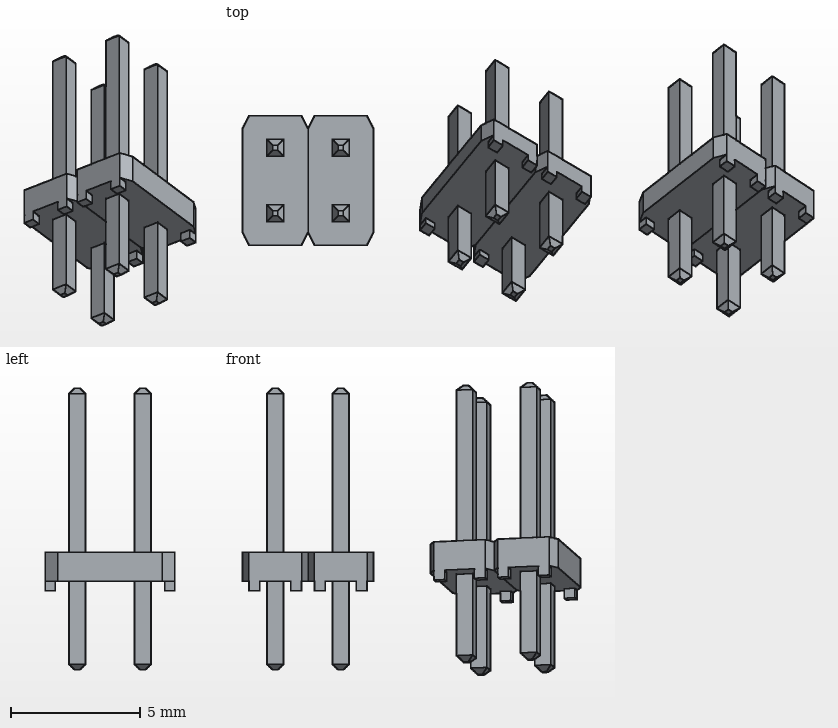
import cadquery as cq

total_width = 5.08
column_count = 2
pitch = total_width / column_count
row_count = 2

pin_width = 0.64
pin_length = 10.92
pin_tail = 3.06
pin_tip_width = 0.21
pin_tip_height = 0.22

housing_depth = 5.03
housing_height = 1.14
corner_cut_x = 0.25
corner_cut_y = 0.5

foot_width = 0.43
foot_depth = 0.4
foot_height = 0.37

housing_width = pitch
column_places = [(column - (column_count - 1) / 2) * pitch for column in range(column_count)]
row_places = [(row - (row_count - 1) / 2) * pitch for row in range(row_count)]


def make_tip(shaft_end, tip_end):
    """Blunt pyramid from the full pin section to the small end face."""
    return (
        cq.Workplane("XY")
        .workplane(offset=shaft_end)
        .rect(pin_width, pin_width)
        .workplane(offset=tip_end - shaft_end)
        .rect(pin_tip_width, pin_tip_width)
        .loft(ruled=True)
    )


def make_pin(x, y):
    """Square pin with a blunt pyramid at each end."""
    bottom = -pin_tail
    top = bottom + pin_length
    shaft_bottom = bottom + pin_tip_height
    shaft_top = top - pin_tip_height
    shaft = (
        cq.Workplane("XY")
        .workplane(offset=shaft_bottom)
        .rect(pin_width, pin_width)
        .extrude(shaft_top - shaft_bottom)
    )
    pin = shaft.union(make_tip(shaft_top, top)).union(make_tip(shaft_bottom, bottom))
    return pin.translate((x, y, 0))


def make_block():
    """Housing block with its four vertical corners cut off."""
    side = housing_width / 2
    end = housing_depth / 2
    flat_x = side - corner_cut_x
    flat_y = end - corner_cut_y
    outline = [
        (-flat_x, -end),
        (flat_x, -end),
        (side, -flat_y),
        (side, flat_y),
        (flat_x, end),
        (-flat_x, end),
        (-side, flat_y),
        (-side, -flat_y),
    ]
    return cq.Workplane("XY").workplane(offset=foot_height).polyline(outline).close().extrude(housing_height)


def make_feet():
    """Four feet, flush with the end faces and starting where the corner cuts end."""
    spacing_x = housing_width - 2 * corner_cut_x - foot_width
    spacing_y = housing_depth - foot_depth
    return (
        cq.Workplane("XY")
        .rarray(spacing_x, spacing_y, 2, 2)
        .rect(foot_width, foot_depth)
        .extrude(foot_height)
    )


def make_housing(x):
    """Footed block with a matching square hole for each pin of its column."""
    pin_holes = (
        cq.Workplane("XY")
        .pushPoints([(0, y) for y in row_places])
        .rect(pin_width, pin_width)
        .extrude(foot_height + housing_height)
    )
    return make_block().union(make_feet()).cut(pin_holes).translate((x, 0, 0))


housings = [make_housing(x) for x in column_places]
pins = [make_pin(x, y) for x in column_places for y in row_places]

result = cq.Compound.makeCompound([body.val() for body in housings + pins])